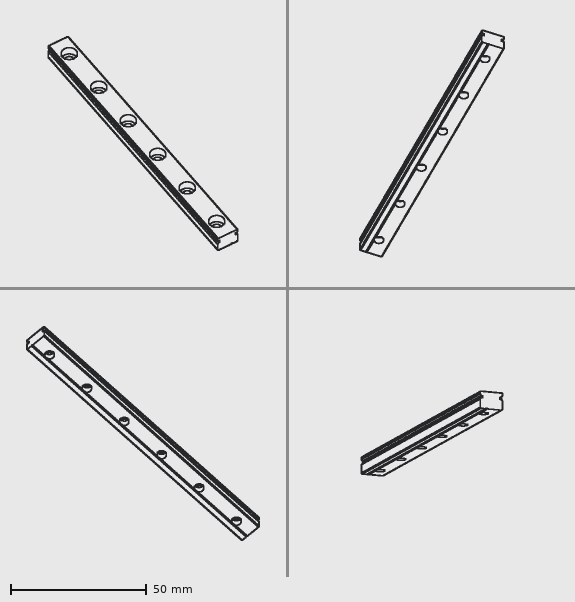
import cadquery as cq

length = 115.0
width = 9.0
height = 6.5
edge_chamfer = 0.3

hole_count = 6
hole_pitch = 20.0
through_diameter = 3.5
counterbore_diameter = 6.0
counterbore_depth = 3.5

raceway_depth_from_top = 2.1
raceway_mouth = 2.0
raceway_depth = 0.5
relief_height = 0.7
relief_depth = 1.0

mark_offset = 1.8
mark_width = 0.5
mark_depth = 0.2


def make_body():
    body = cq.Workplane("XY").box(length, width, height, centered=(True, True, False))
    return body.edges("|X").chamfer(edge_chamfer)


def make_raceway(side):
    """Cutter for one raceway; side is +1 or -1 along Y."""
    face = side * width / 2
    middle = height - raceway_depth_from_top
    arc_groove = (
        cq.Workplane("YZ")
        .moveTo(face, middle - raceway_mouth / 2)
        .threePointArc(
            (face - side * raceway_depth, middle),
            (face, middle + raceway_mouth / 2),
        )
        .close()
        .extrude(length / 2, both=True)
    )
    relief = (
        cq.Workplane("XY")
        .box(length, 2 * relief_depth, relief_height)
        .translate((0, face, middle))
    )
    return arc_groove.union(relief)


def make_reference_groove():
    return (
        cq.Workplane("XY")
        .box(length, mark_width, mark_depth, centered=(True, True, False))
        .translate((0, mark_offset, 0))
    )


result = make_body()
for side in (-1, 1):
    result = result.cut(make_raceway(side))
result = result.cut(make_reference_groove())
result = (
    result.faces(">Z")
    .workplane(origin=(0, 0, height))
    .rarray(hole_pitch, 1.2, hole_count, 1)
    .cboreHole(through_diameter, counterbore_diameter, counterbore_depth)
)